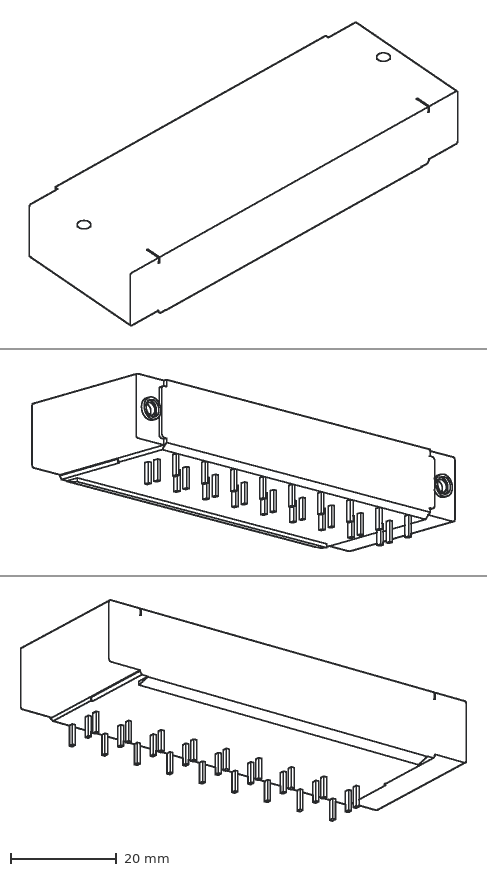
import cadquery as cq


CASE_DEPTH = 29.25
CASE_WIDTH = 69.2
CASE_HEIGHT = 13.6
FRONT_CHAMFER = 1.2
SIDE_CHAMFER_WIDTH = 0.4
SIDE_CHAMFER_HEIGHT = 0.7
SIDE_CHAMFER_START = 13.3

OVERALL_WIDTH = 83.8
BLOCK_SETBACK = 0.75
BLOCK_HEIGHT = 12.7
BLOCK_EDGE_RADIUS = 0.5

TAB_WIDTH = 71.7
TAB_TOP_DROP = 1.3
TAB_HEIGHT = 10.2
TAB_CORNER_RADIUS = 0.7

FASTENER_Y = 38.3
BUSHING_DIAMETER = 4.4
COUNTERBORE_DIAMETER = 3.35
COUNTERBORE_DEPTH = 0.7
BORE_DIAMETER = 2.5
BORE_DEPTH = 1.8
MOUNTING_HOLE_X = 12.2
MOUNTING_HOLE_DIAMETER = 2.6
MOUNTING_HOLE_DEPTH = 5

GROOVE_START = 25.9
GROOVE_WIDTH = 0.25
GROOVE_DEPTH = 1.3

PIN_ROWS_X = (1.8, 6.9, 9.4)
PINS_PER_ROW = 9
PIN_PITCH = 7.6
PIN_SIZE_X = 1.0
PIN_SIZE_Y = 0.7
PIN_LENGTH = 4.2

LATCH_START = 26.3
LATCH_WIDTH = 65.55
LATCH_DROP = 0.75
LATCH_REAR_DROP = 0.1

BLOCK_BOTTOM = CASE_HEIGHT - BLOCK_HEIGHT
BLOCK_MIDDLE = CASE_HEIGHT - BLOCK_HEIGHT / 2
ENDS = (-1, 1)


def box(x_start, x_end, width, z_bottom, z_top, y_middle=0):
    """Box between two X and two Z positions, centred on y_middle."""
    return (
        cq.Workplane("XY", origin=(x_start, y_middle, z_bottom))
        .box(x_end - x_start, width, z_top - z_bottom, centered=(False, True, False))
    )


def rod(length, diameter, y):
    """Cylinder along X from X = 0, at the height of the bushings."""
    return (
        cq.Workplane("YZ", origin=(0, y, BLOCK_MIDDLE))
        .circle(diameter / 2)
        .extrude(length)
    )


def make_case():
    case = box(0, CASE_DEPTH, CASE_WIDTH, 0, CASE_HEIGHT)
    case = case.edges("<X and <Z").chamfer(FRONT_CHAMFER)
    for end in ENDS:
        side = end * CASE_WIDTH / 2
        wedge = (
            cq.Workplane("YZ", origin=(SIDE_CHAMFER_START, 0, 0))
            .moveTo(side, 0)
            .lineTo(side - end * SIDE_CHAMFER_WIDTH, 0)
            .lineTo(side, SIDE_CHAMFER_HEIGHT)
            .close()
            .extrude(CASE_DEPTH - SIDE_CHAMFER_START)
        )
        case = case.cut(wedge)
    return case


def make_blocks():
    blocks = box(BLOCK_SETBACK, CASE_DEPTH, OVERALL_WIDTH, BLOCK_BOTTOM, CASE_HEIGHT)
    blocks = blocks.edges("|X").fillet(BLOCK_EDGE_RADIUS)
    return blocks.cut(box(0, CASE_DEPTH, CASE_WIDTH, 0, CASE_HEIGHT))


def make_tabs():
    tab_top = CASE_HEIGHT - TAB_TOP_DROP
    tabs = box(0, BLOCK_SETBACK, TAB_WIDTH, tab_top - TAB_HEIGHT, tab_top)
    return tabs.edges("|X").fillet(TAB_CORNER_RADIUS)


def make_pins():
    pin_spots = [
        (x, (index - (PINS_PER_ROW - 1) / 2) * PIN_PITCH)
        for x in PIN_ROWS_X
        for index in range(PINS_PER_ROW)
    ]
    return (
        cq.Workplane("XY")
        .pushPoints(pin_spots)
        .rect(PIN_SIZE_X, PIN_SIZE_Y)
        .extrude(-PIN_LENGTH)
    )


def make_latch():
    return (
        cq.Workplane("XZ")
        .moveTo(LATCH_START, 0)
        .lineTo(LATCH_START, -LATCH_DROP)
        .lineTo(CASE_DEPTH, -LATCH_REAR_DROP)
        .lineTo(CASE_DEPTH, 0)
        .close()
        .extrude(LATCH_WIDTH / 2, both=True)
    )


result = make_case().union(make_blocks()).union(make_tabs())
result = result.union(make_pins()).union(make_latch())

for end in ENDS:
    fastener_y = end * FASTENER_Y
    mounting_hole = (
        cq.Workplane("XY", origin=(MOUNTING_HOLE_X, fastener_y, CASE_HEIGHT))
        .circle(MOUNTING_HOLE_DIAMETER / 2)
        .extrude(-MOUNTING_HOLE_DEPTH)
    )
    groove_y = end * (CASE_WIDTH - GROOVE_WIDTH) / 2
    groove_bottom = CASE_HEIGHT - GROOVE_DEPTH
    result = (
        result.union(rod(BLOCK_SETBACK, BUSHING_DIAMETER, fastener_y))
        .cut(rod(COUNTERBORE_DEPTH, COUNTERBORE_DIAMETER, fastener_y))
        .cut(rod(BORE_DEPTH, BORE_DIAMETER, fastener_y))
        .cut(mounting_hole)
        .cut(box(GROOVE_START, CASE_DEPTH, GROOVE_WIDTH, groove_bottom, CASE_HEIGHT, groove_y))
    )